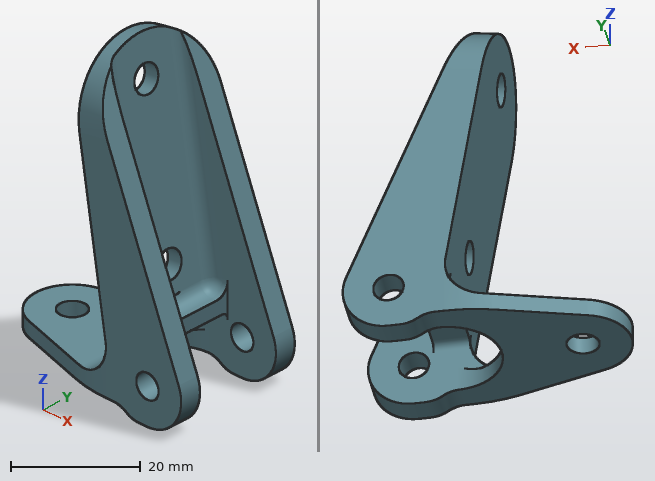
import cadquery as cq
import math

length = 43.1
width = 25.4
height = 59.6
plate = 3.0
half_width = width / 2
reach = 2 * height

ear_thickness = 4.25
pivot_radius = 7.2
pivot_hole = 4.75
pivot_x = length - pivot_radius
pivot_z = pivot_radius
back_angle = math.radians(22.1)
ear_blend_start = 28.6
ear_blend_end = 34.05
half_gap = half_width - ear_thickness

foot_bottom = 1.65
foot_top = foot_bottom + plate
foot_radius = 7.7
foot_hole = 5.1
taper = math.radians(16.3)
flare_length = 7.3

lean = math.radians(9.1)
leg_top_x = 19.3
leg_top_z = height - plate * math.sin(lean)
heel_radius = 5.95
heel_overlap = 0.6
leg_hole = 5.25
upper_hole_drop = 7.9
lower_hole_drop = 39.35
spotface = 10.75

pocket_fillet = 2.5
shelf_bottom = 10.55
shelf_end = 32.8
window_corner = 1.25
slot_center_x = 28.9


def leg_point(drop, depth=0.0):
    """XZ point at a distance down the leg and behind its front face."""
    return (
        leg_top_x + drop * math.sin(lean) + depth * math.cos(lean),
        leg_top_z - drop * math.cos(lean) + depth * math.sin(lean),
    )


def extrude_profile(profile, half_depth):
    """Extrude a closed XZ profile symmetrically in Y."""
    return profile.extrude(2 * half_depth).translate((0, half_depth, 0))


def leg_front_x(z):
    return leg_top_x + (leg_top_z - z) * math.tan(lean)


heel_z = foot_top + heel_radius
heel_top_z = heel_z + heel_radius * math.sin(lean)
heel_top_x = leg_front_x(heel_top_z)
heel_x = heel_top_x - heel_radius * math.cos(lean)
ear_front_x = heel_x + heel_radius
ear_front_top_z = leg_top_z - (ear_front_x - leg_top_x) / math.tan(lean)
heel_mid_angle = (lean - math.pi / 2) / 2
heel_mid = (
    heel_x + heel_radius * math.cos(heel_mid_angle),
    heel_z + heel_radius * math.sin(heel_mid_angle),
)


def make_leg_and_ears():
    """Leg and ears as one full-width block, rounded at the top."""
    back_x = pivot_x + pivot_radius * math.cos(back_angle)
    back_z = pivot_z + pivot_radius * math.sin(back_angle)
    back_rise = height - back_z
    blend_mid = ((ear_blend_start + ear_blend_end) / 2, foot_bottom / 2)
    ears = extrude_profile(
        cq.Workplane("XZ")
        .moveTo(*leg_point(0))
        .lineTo(ear_front_x, ear_front_top_z)
        .lineTo(ear_front_x, foot_bottom)
        .lineTo(ear_blend_start, foot_bottom)
        .tangentArcPoint(blend_mid, relative=False)
        .tangentArcPoint((ear_blend_end, 0), relative=False)
        .lineTo(pivot_x, 0)
        .tangentArcPoint((back_x, back_z), relative=False)
        .lineTo(back_x - back_rise * math.tan(back_angle), height)
        .close(),
        half_width,
    )
    plate_slab = extrude_profile(
        cq.Workplane("XZ").polyline([
            leg_point(0),
            (heel_top_x, heel_top_z),
            (heel_top_x + plate, heel_top_z),
            leg_point(0, plate),
        ]).close(),
        half_width,
    )
    rounded_outline = (
        leg_plane(half_width)
        .circle(half_width)
        .extrude(reach, both=True)
        .union(
            leg_plane(half_width + reach / 2)
            .rect(width, reach)
            .extrude(reach, both=True)
        )
    )
    return ears.union(plate_slab).intersect(rounded_outline)


def leg_plane(drop, depth=0.0):
    """Workplane across the leg, local X along Y and normal pointing to the rear."""
    x, z = leg_point(drop, depth)
    normal = (math.cos(lean), 0, math.sin(lean))
    return cq.Workplane(cq.Plane(origin=(x, 0, z), xDir=(0, 1, 0), normal=normal))


def make_foot():
    """Foot and its heel webs, trimmed to the tapered plan outline."""
    foot_plate = extrude_profile(
        cq.Workplane("XZ")
        .polyline([(0, foot_bottom), (ear_front_x, foot_bottom), (ear_front_x, foot_top), (0, foot_top)])
        .close(),
        width,
    )
    heel_back_x = ear_front_x + heel_overlap
    heel = extrude_profile(
        cq.Workplane("XZ")
        .moveTo(heel_x, foot_bottom)
        .lineTo(heel_back_x, foot_bottom)
        .lineTo(heel_back_x, heel_top_z)
        .lineTo(heel_top_x, heel_top_z)
        .threePointArc(heel_mid, (heel_x, foot_top))
        .close(),
        width,
    )
    flare_radius = flare_length / math.sin(taper)
    flare_x = ear_front_x - flare_length
    flare_y = half_width - flare_radius * (1 - math.cos(taper))
    mid_x = ear_front_x - flare_radius * math.sin(taper / 2)
    mid_y = half_width - flare_radius * (1 - math.cos(taper / 2))
    toe_x = foot_radius * (1 - math.sin(taper))
    toe_y = foot_radius * math.cos(taper)
    plan = (
        cq.Workplane("XY")
        .moveTo(toe_x, -toe_y)
        .lineTo(flare_x, -flare_y)
        .threePointArc((mid_x, -mid_y), (ear_front_x, -half_width))
        .lineTo(heel_back_x, -half_width)
        .lineTo(heel_back_x, half_width)
        .lineTo(ear_front_x, half_width)
        .threePointArc((mid_x, mid_y), (flare_x, flare_y))
        .lineTo(toe_x, toe_y)
        .threePointArc((0, 0), (toe_x, -toe_y))
        .close()
        .extrude(height)
    )
    corner_z = foot_top + window_corner
    corner_y = half_gap - window_corner
    web = (
        cq.Workplane("YZ")
        .moveTo(corner_y, foot_bottom)
        .lineTo(reach, foot_bottom)
        .lineTo(reach, height)
        .lineTo(half_gap, height)
        .lineTo(half_gap, corner_z)
        .radiusArc((corner_y, foot_top), window_corner)
        .close()
        .extrude(reach)
    )
    webs = web.union(web.mirror("XZ")).intersect(heel)
    return foot_plate.intersect(plan).union(webs.intersect(plan))


def make_pocket():
    """Space between the ears, behind the leg plate and above the shelf."""
    floor_z = shelf_bottom + plate
    floor_x = leg_front_x(floor_z) + plate / math.cos(lean)
    top_x, top_z = leg_point(-plate, plate)
    pocket = extrude_profile(
        cq.Workplane("XZ").polyline([
            (floor_x, floor_z), (reach, floor_z), (reach, top_z), (top_x, top_z),
        ]).close(),
        half_gap,
    )
    wall_and_floor = pocket.faces("<Z").edges().add(pocket.faces("<X").edges())
    rounded = [e for e in wall_and_floor.vals() if e.Center().x < reach - 0.6 and e.Center().z < top_z - 0.6]
    return pocket.newObject(rounded).fillet(pocket_fillet)


def make_window():
    """Rounded window under the shelf, open to the rear."""
    window_height = shelf_bottom - foot_top
    return (
        cq.Workplane("YZ")
        .center(0, foot_top + window_height / 2)
        .rect(2 * half_gap, window_height)
        .extrude(reach)
        .edges("|X")
        .fillet(window_corner)
        .translate((heel_x, 0, 0))
    )


def make_slot():
    """Round-ended slot through the foot, open to the rear."""
    slot_top = foot_top + window_corner
    round_end = cq.Workplane("XY").center(slot_center_x, 0).circle(half_gap).extrude(slot_top)
    channel = (
        cq.Workplane("XY")
        .box(reach, 2 * half_gap, slot_top, centered=(False, True, False))
        .translate((slot_center_x, 0, 0))
    )
    return round_end.union(channel)


def make_ear_opening():
    """Full-height gap between the ears behind the shelf."""
    return (
        cq.Workplane("XY")
        .box(reach, 2 * half_gap, height, centered=(False, True, False))
        .translate((shelf_end, 0, 0))
    )


result = make_leg_and_ears().cut(make_pocket()).cut(make_window()).union(make_foot())
result = result.cut(make_slot()).cut(make_ear_opening())

for hole_drop in (upper_hole_drop, lower_hole_drop):
    result = result.cut(leg_plane(hole_drop).circle(leg_hole / 2).extrude(2 * plate, both=True))
result = result.cut(leg_plane(lower_hole_drop, plate).circle(spotface / 2).extrude(plate))

result = result.cut(cq.Workplane("XY").center(foot_radius, 0).circle(foot_hole / 2).extrude(foot_top))
result = result.cut(
    extrude_profile(cq.Workplane("XZ").center(pivot_x, pivot_z).circle(pivot_hole / 2), half_width)
)
result = result.clean()